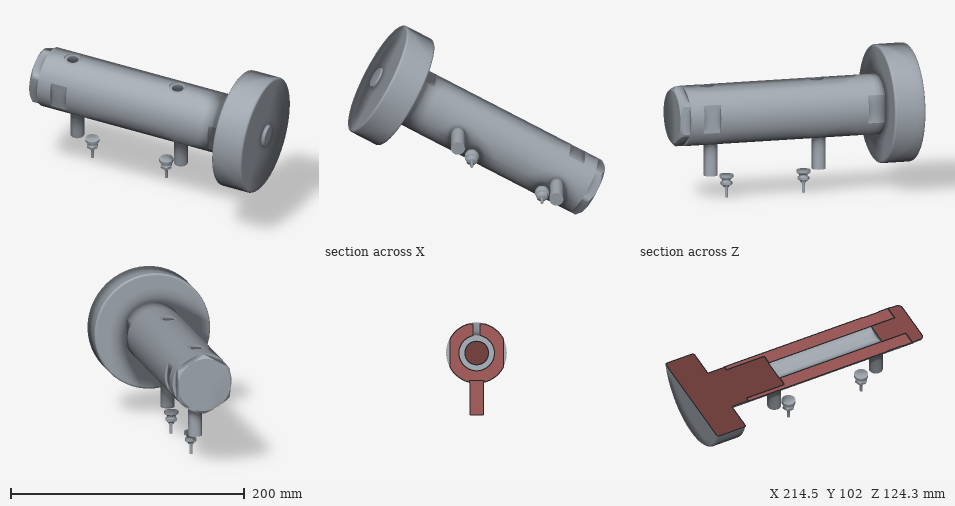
import cadquery as cq
import math


body_radius = 26.0
tube_start = 11.4
tube_end = 168.7
bore_radius = 15.0
flat_distance = 23.0
wrench_flat_start = 20.8
wrench_flat_length = 15.0

port_centers = [30.5, 129.0]
port_radius = 5.0
spotface_radius = 7.5
spotface_depth = 1.0

collar_thickness = 2.5
hex_length = tube_start - collar_thickness
hex_across_flats = 2 * flat_distance
hex_chamfer_length = 2.8
hex_end_radius = 23.0
plug_end = 34.5

head_radius = 51.0
head_start = 184.2
head_end = 211.8
head_fillet = 2.0
spigot_radius = 21.9
spigot_start = 132.5
rod_radius = 10.3
overall_length = 214.5

button_radius = 9.9
button_end_radius = 8.1
button_height = overall_length - head_end
button_tilt_slope = 0.05

pin_centers = [34.7, 132.0]
pin_radius = 6.0
pin_bottom = -53.2
pin_seat = -23.5

connector_centers = [48.9, 118.3]
flange_thickness = 2.5
flange_cone_height = 1.5
neck_radius = 3.6
neck_bottom_depth = 5.1
neck_flare_height = 0.6
nut_height = 3.5
nut_across_flats = 9.2
nut_turn = -8.0
nut_face_radius = 4.0
nut_chamfer_height = 0.9
ferrule_radius = 2.4
ferrule_cone_height = 1.0
ferrule_height = 1.0
wire_radius = 1.3
wire_bottom = -73.3


def x_cylinder(start, end, radius):
    """Cylinder on the main axis between two X positions."""
    return cq.Workplane("YZ").workplane(offset=start).circle(radius).extrude(end - start)


def z_cylinder(x, bottom, top, radius):
    """Vertical cylinder at the given X position."""
    return cq.Workplane("XY", origin=(x, 0, bottom)).circle(radius).extrude(top - bottom)


def cut_side_flats(solid, start, length):
    """Cut a flat on the -Y and +Y side of a round solid."""
    depth = body_radius - flat_distance
    for side in (-1, 1):
        cutter = cq.Workplane("XY").box(length, 2 * depth, 2 * body_radius, centered=(False, True, True))
        solid = solid.cut(cutter.translate((start, side * (flat_distance + depth), 0)))
    return solid


def make_tube():
    tube = x_cylinder(tube_start, tube_end, body_radius)
    tube = tube.cut(x_cylinder(tube_start, tube_end, bore_radius))
    tube = tube.cut(x_cylinder(spigot_start, tube_end, spigot_radius))
    tube = cut_side_flats(tube, wrench_flat_start, wrench_flat_length)
    for x in port_centers:
        tube = tube.cut(z_cylinder(x, 0, body_radius, port_radius))
        tube = tube.cut(z_cylinder(x, body_radius - spotface_depth, body_radius, spotface_radius))
    for x in pin_centers:
        tube = tube.cut(z_cylinder(x, pin_bottom, pin_seat, pin_radius))
    return tube


def make_plug():
    corner_diameter = hex_across_flats / math.cos(math.pi / 6)
    hexagon = cq.Workplane("YZ").polygon(6, corner_diameter).extrude(hex_length)
    hexagon = hexagon.rotate((0, 0, 0), (1, 0, 0), 90)
    turned_blank = (
        cq.Workplane("XY")
        .moveTo(0, 0)
        .lineTo(0, hex_end_radius)
        .lineTo(hex_chamfer_length, body_radius)
        .lineTo(hex_length, body_radius)
        .lineTo(hex_length, 0)
        .close()
        .revolve(360, (0, 0, 0), (1, 0, 0))
    )
    collar = x_cylinder(hex_length, tube_start, body_radius)
    stem = x_cylinder(tube_start, plug_end, bore_radius)
    return hexagon.intersect(turned_blank).union(collar).union(stem)


def make_button():
    """Low conical button whose end is cut off by a plane leaning toward -Y and +Z."""
    blank = (
        cq.Workplane("YZ", origin=(head_end, 0, 0))
        .circle(button_radius)
        .workplane(offset=button_height)
        .circle(button_end_radius)
        .loft()
    )
    tilt_drop = button_tilt_slope * math.sqrt(2) * button_end_radius
    end_plane = cq.Plane(
        origin=(overall_length - tilt_drop, 0, 0),
        xDir=(0, 1, 1),
        normal=(1, button_tilt_slope, -button_tilt_slope),
    )
    cutter = cq.Workplane(end_plane).circle(2 * button_radius).extrude(button_height)
    return blank.cut(cutter)


def make_head():
    disk = x_cylinder(head_start, head_end, head_radius).edges().fillet(head_fillet)
    shoulder = cut_side_flats(
        x_cylinder(tube_end, head_start, body_radius), tube_end, head_start - tube_end
    )
    spigot = x_cylinder(spigot_start, tube_end, spigot_radius)
    rod = x_cylinder(plug_end, spigot_start, rod_radius)
    return disk.union(shoulder).union(spigot).union(rod).union(make_button())


def make_pin(x):
    return z_cylinder(x, pin_bottom, pin_seat, pin_radius)


def make_connector(x):
    top = pin_bottom
    flange_bottom = top - flange_thickness
    neck_bottom = top - neck_bottom_depth
    nut_top = neck_bottom - neck_flare_height
    nut_bottom = nut_top - nut_height
    ferrule_top = nut_bottom - ferrule_cone_height
    ferrule_bottom = ferrule_top - ferrule_height
    turned_parts = (
        cq.Workplane("XZ")
        .moveTo(0, top)
        .lineTo(pin_radius, top)
        .lineTo(pin_radius, flange_bottom)
        .lineTo(neck_radius, flange_bottom - flange_cone_height)
        .lineTo(neck_radius, neck_bottom)
        .lineTo(nut_face_radius, nut_top)
        .lineTo(nut_face_radius, nut_bottom)
        .lineTo(ferrule_radius, ferrule_top)
        .lineTo(ferrule_radius, ferrule_bottom)
        .lineTo(wire_radius, ferrule_bottom)
        .lineTo(wire_radius, wire_bottom)
        .lineTo(0, wire_bottom)
        .close()
        .revolve(360, (0, 0, 0), (0, 1, 0))
    )
    nut_corner_radius = nut_across_flats / 2 / math.cos(math.pi / 6)
    hexagon = (
        cq.Workplane("XY", origin=(0, 0, nut_bottom))
        .polygon(6, 2 * nut_corner_radius)
        .extrude(nut_height)
        .rotate((0, 0, 0), (0, 0, 1), nut_turn)
    )
    nut_blank = (
        cq.Workplane("XZ")
        .moveTo(0, nut_bottom)
        .lineTo(nut_face_radius, nut_bottom)
        .lineTo(nut_corner_radius, nut_bottom + nut_chamfer_height)
        .lineTo(nut_corner_radius, nut_top - nut_chamfer_height)
        .lineTo(nut_face_radius, nut_top)
        .lineTo(0, nut_top)
        .close()
        .revolve(360, (0, 0, 0), (0, 1, 0))
    )
    return turned_parts.union(hexagon.intersect(nut_blank)).translate((x, 0, 0))


tube = make_tube()
plug = make_plug()
head = make_head()
pins = [make_pin(x) for x in pin_centers]
connectors = [make_connector(x) for x in connector_centers]

result = cq.Compound.makeCompound(
    [
        tube.val(),
        plug.val(),
        head.val(),
        *[pin.val() for pin in pins],
        *[connector.val() for connector in connectors],
    ]
)